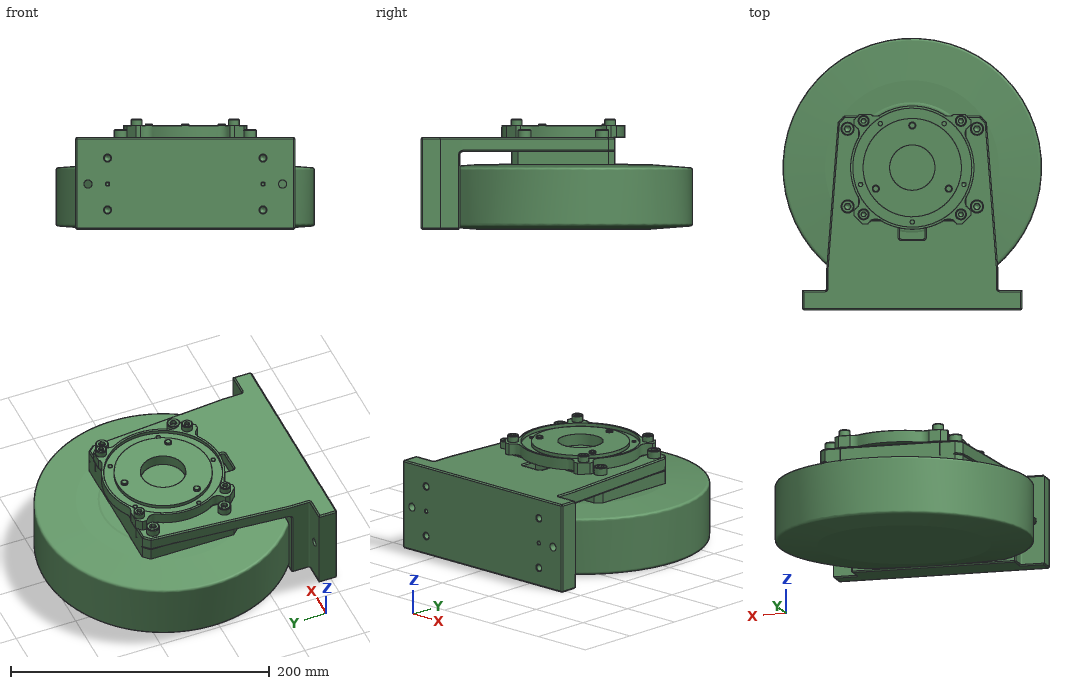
import cadquery as cq
import math

wheel_radius = 100.0
wheel_height = 50.0
hub_radius = 67.2
rim_setback = 2.5
rim_fillet = 2.0
hub_step_radius = 50.5
hub_step_top_radius = 49.0
hub_step_height = 0.5

arm_end_y = 40.0
spacer_half_x = 57.3
spacer_height = 10.0
spacer_chamfer = 5.0

bracket_top = 71.0
mount_face_y = -110.0
foot_half_x = 84.8
foot_thickness = 15.1
post_half_x = 66.1
post_back_y = -80.0
arm_bottom = wheel_height + spacer_height
arm_corner_x = 52.5
arm_corner_y = 34.9
taper_start_y = -78.5
foot_corner_fillet = 1.5
arm_corner_fillet = 3.0
edge_chamfer = 1.0

seat_half = 40.3
seat_fillet = 3.1
window_half_x = 9.9
window_end_y = -55.5
window_fillet = 1.7

body_half = 40.0
body_chamfer = 0.8

tapped_x = 60.0
tapped_low_z = 15.0
tapped_high_z = 55.0
foot_mid_z = (tapped_low_z + tapped_high_z) / 2
tapped_diameter = 5.0
tapped_rim = 6.0
tapped_depth = 12.5
small_diameter = 2.5
small_rim = 3.4
small_depth = 8.5
dowel_x = 75.2
dowel_diameter = 6.3
drill_tip_angle = 118.0

flange_top = 80.0
flange_radius = 47.7
ring_groove_outer = 46.0
ring_groove_inner = 76.0 / 2
ring_groove_depth = 2.7
bore_diameter = 35.0
ear_reach = 58.0
ear_width = 15.0
ear_chamfer = 2.5
ear_fillet = 6.0
ear_trim_y = 41.0
flange_hole_count = 5
flange_hole_circle = 42.0
flange_hole_diameter = 3.4
drilled_flange_holes = (1, 4)
flange_hole_depth = 0.6
pin_count = 3
pin_circle = 32.5
pin_diameter = 5.5
pin_height = 1.5
pin_chamfer = 0.6

ear_screw_x = 37.5
ear_screw_y = 36.1
ear_head_diameter = 8.5
ear_head_height = 5.0
ear_socket = 3.5
arm_screw_x = 50.0
arm_screw_y = 30.0
arm_head_diameter = 10.0
arm_head_height = 6.0
arm_socket = 4.6
head_chamfer = 0.6

overlap = 2.0
margin = 0.2

SIGNS = [(-1, -1), (1, -1), (1, 1), (-1, 1)]


def cylinder(radius, bottom, top):
    return cq.Workplane("XY").workplane(offset=bottom).circle(radius).extrude(top - bottom)


def box(x_min, x_max, y_min, y_max, z_min, z_max):
    size = (x_max - x_min, y_max - y_min, z_max - z_min)
    return cq.Workplane("XY").box(*size, centered=False).translate((x_min, y_min, z_min))


def polar(radius, angle):
    return (radius * math.cos(math.radians(angle)), radius * math.sin(math.radians(angle)))


def cone_depth(radius):
    return radius / math.tan(math.radians(drill_tip_angle / 2))


def drill_tip(radius, top):
    return cq.Workplane(cq.Solid.makeCone(radius, 0, cone_depth(radius), (0, 0, top), (0, 0, -1)))


def make_wheel():
    profile = [
        (0, 0),
        (hub_radius, 0),
        (wheel_radius, rim_setback),
        (wheel_radius, wheel_height - rim_setback),
        (hub_radius, wheel_height),
        (hub_step_radius, wheel_height),
        (hub_step_top_radius, wheel_height + hub_step_height),
        (0, wheel_height + hub_step_height),
    ]
    wheel = cq.Workplane("XZ").polyline(profile).close().revolve(360, (0, 0), (0, 1))
    largest = cq.selectors.RadiusNthSelector(-1)
    return wheel.edges("%CIRCLE").edges(largest).fillet(rim_fillet)


def make_spacer():
    spacer = box(-spacer_half_x, spacer_half_x, -arm_end_y, arm_end_y, wheel_height, arm_bottom)
    return spacer.edges("|Z").chamfer(spacer_chamfer)


def make_bracket():
    foot_back_y = mount_face_y + foot_thickness
    right_side = [
        (foot_half_x, mount_face_y),
        (foot_half_x, foot_back_y),
        (post_half_x, foot_back_y),
        (post_half_x, taper_start_y),
        (spacer_half_x, arm_corner_y),
        (arm_corner_x, arm_end_y),
    ]
    left_side = [(-x, y) for x, y in reversed(right_side)]
    bracket = cq.Workplane("XY").polyline(right_side + left_side).close().extrude(bracket_top)
    inner_corners = cq.selectors.BoxSelector(
        (-post_half_x - margin, foot_back_y - margin, 0),
        (post_half_x + margin, foot_back_y + margin, bracket_top),
    )
    bracket = bracket.edges("|Z").edges(inner_corners).fillet(foot_corner_fillet)
    undercut = box(-foot_half_x, foot_half_x, post_back_y, arm_end_y + overlap, -overlap, arm_bottom)
    undercut = undercut.edges("|X and >Z and <Y").fillet(arm_corner_fillet)
    bracket = bracket.cut(undercut)
    bracket = bracket.faces(">Z or <Z or <Y").edges().chamfer(edge_chamfer)
    arm_underside = cq.selectors.BoxSelector(
        (-foot_half_x, post_back_y, arm_bottom - margin),
        (foot_half_x, arm_end_y + overlap, arm_bottom + margin),
    )
    return bracket.edges(arm_underside).edges("not |X or >Y").chamfer(edge_chamfer)


def cut_arm_openings(bracket):
    seat = box(-seat_half, seat_half, -seat_half, arm_end_y + overlap, arm_bottom - overlap, bracket_top)
    seat = seat.edges("|Z and <Y").fillet(seat_fillet)
    window = box(-window_half_x, window_half_x, window_end_y, 0, arm_bottom - overlap, bracket_top)
    window = window.edges("|Z and <Y").fillet(window_fillet)
    bracket = bracket.cut(seat.union(window))
    rim = cq.selectors.BoxSelector(
        (-seat_half - margin, window_end_y - margin, bracket_top - margin),
        (seat_half + margin, arm_end_y, bracket_top + margin),
    )
    return bracket.edges(rim).chamfer(edge_chamfer)


def make_body():
    body = box(-body_half, body_half, -body_half, body_half, wheel_height, bracket_top)
    return body.faces(">Z").edges().chamfer(body_chamfer)


def drilled_hole(x, z, diameter, rim_diameter, depth):
    radius = diameter / 2
    rim_radius = rim_diameter / 2
    profile = [
        (0, 0),
        (rim_radius, 0),
        (radius, rim_radius - radius),
        (radius, depth),
        (0, depth + cone_depth(radius)),
    ]
    hole = cq.Workplane("XY").polyline(profile).close().revolve(360, (0, 0), (0, 1))
    return hole.translate((x, mount_face_y, z))


def cut_mounting_holes(body):
    for side in (-1, 1):
        for z in (tapped_low_z, tapped_high_z):
            body = body.cut(drilled_hole(side * tapped_x, z, tapped_diameter, tapped_rim, tapped_depth))
        body = body.cut(drilled_hole(side * tapped_x, foot_mid_z, small_diameter, small_rim, small_depth))
        dowel = cq.Workplane("XZ", origin=(side * dowel_x, mount_face_y, foot_mid_z))
        body = body.cut(dowel.circle(dowel_diameter / 2).extrude(-foot_thickness))
    return body


def make_flange():
    bottom = bracket_top
    flange = cylinder(flange_radius, bottom, flange_top)
    for sx, sy in SIGNS:
        ear = box(0, ear_reach, -ear_width / 2, ear_width / 2, bottom, flange_top)
        ear = ear.edges("|Z and >X").chamfer(ear_chamfer)
        angle = math.degrees(math.atan2(sy, sx))
        shift = sx * sy * (ear_screw_y - ear_screw_x) / math.sqrt(2)
        flange = flange.union(ear.translate((0, shift, 0)).rotate((0, 0, 0), (0, 0, 1), angle))
    reach = flange_radius + margin
    roots = flange.edges("|Z").filter(lambda edge: math.hypot(edge.Center().x, edge.Center().y) < reach)
    flange = roots.fillet(ear_fillet)
    trim_x = math.sqrt(flange_radius**2 - ear_trim_y**2)
    for x_min in (trim_x, -trim_x - ear_reach):
        flange = flange.cut(box(x_min, x_min + ear_reach, ear_trim_y, ear_reach, bottom, flange_top))
    return flange


def finish_flange(body):
    groove_floor = flange_top - ring_groove_depth
    groove = cylinder(ring_groove_outer, groove_floor, flange_top)
    groove = groove.cut(cylinder(ring_groove_inner, groove_floor, flange_top))
    body = body.cut(groove).cut(cylinder(bore_diameter / 2, bracket_top, flange_top))
    for i in range(flange_hole_count):
        x, y = polar(flange_hole_circle, -90 + i * 360 / flange_hole_count)
        hole = cylinder(flange_hole_diameter / 2, groove_floor - flange_hole_depth, groove_floor)
        if i in drilled_flange_holes:
            hole = hole.union(drill_tip(flange_hole_diameter / 2, groove_floor - flange_hole_depth))
        body = body.cut(hole.translate((x, y, 0)))
    for i in range(pin_count):
        x, y = polar(pin_circle, 90 + i * 360 / pin_count)
        pin = cylinder(pin_diameter / 2, flange_top, flange_top + pin_height)
        body = body.union(pin.faces(">Z").chamfer(pin_chamfer).translate((x, y, 0)))
    return body


def make_screw_head(seat_z, diameter, height, socket):
    top = seat_z + height
    head = cylinder(diameter / 2, seat_z, top).faces(">Z").edges().chamfer(head_chamfer)
    hexagon = cq.Workplane("XY").workplane(offset=top)
    hexagon = hexagon.polygon(6, socket / math.cos(math.radians(30))).extrude(-height / 2)
    return head.cut(hexagon).cut(drill_tip(socket / 2, top - height / 2))


def add_screws(body):
    ear_head = make_screw_head(flange_top, ear_head_diameter, ear_head_height, ear_socket)
    arm_head = make_screw_head(bracket_top, arm_head_diameter, arm_head_height, arm_socket)
    for sx, sy in SIGNS:
        body = body.union(ear_head.translate((sx * ear_screw_x, sy * ear_screw_y, 0)))
        body = body.union(arm_head.translate((sx * arm_screw_x, sy * arm_screw_y, 0)))
    return body


bracket = cut_mounting_holes(cut_arm_openings(make_bracket()))
flange = finish_flange(make_flange())
result = make_wheel().union(make_spacer()).union(bracket).union(make_body()).union(flange)
result = add_screws(result)